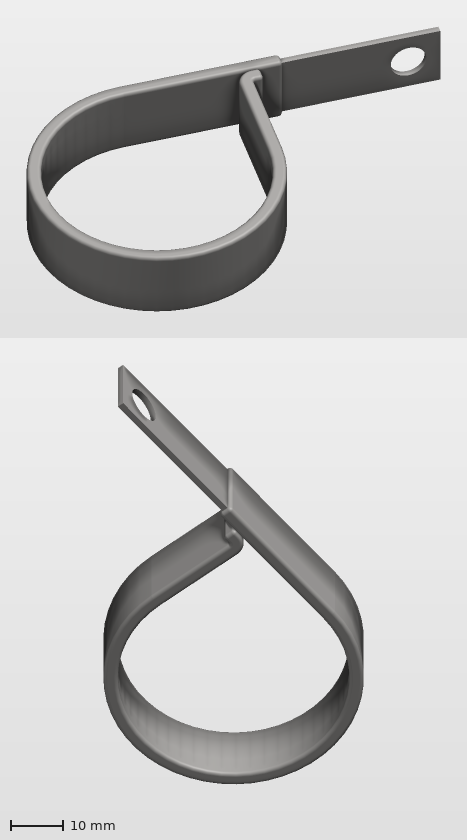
import cadquery as cq
import math

strap_width = 12.7
strap_thickness = 1.27
strap_end_y = 63.5
hole_diameter = 7.14
hole_end_distance = 6.35

cushion_wall = 0.76
cushion_end_y = 31.75
loop_inner_radius = 22.205
edge_radius = 0.75

hook_height = 4.9
hook_inner_radius = 0.45
hook_clearance = 0.02

cushion_thickness = strap_thickness + 2 * cushion_wall
cushion_width = strap_width + 2 * cushion_wall
loop_outer_radius = loop_inner_radius + cushion_thickness


def cushion_outline():
    """Closed outline of leg, three-quarter loop, arm and hook in the XY plane."""
    diagonal = math.sqrt(0.5)
    hook_outer_radius = hook_inner_radius + cushion_thickness
    hook_left_x = -loop_inner_radius + hook_clearance
    hook_right_x = hook_left_x + cushion_thickness
    bend_x = hook_left_x + hook_outer_radius
    bend_y = loop_inner_radius + hook_outer_radius
    hook_tip_y = loop_inner_radius + hook_height

    def bend_middle(radius):
        return (bend_x - radius * diagonal, bend_y - radius * diagonal)

    def loop_middle(radius):
        return (radius * diagonal, -radius * diagonal)

    return (
        cq.Workplane("XY", origin=(0, 0, -cushion_width / 2))
        .moveTo(-loop_outer_radius, cushion_end_y)
        .lineTo(-loop_outer_radius, 0)
        .threePointArc(loop_middle(loop_outer_radius), (0, loop_outer_radius))
        .lineTo(bend_x, loop_outer_radius)
        .threePointArc(bend_middle(hook_inner_radius), (hook_right_x, bend_y))
        .lineTo(hook_right_x, hook_tip_y)
        .lineTo(hook_left_x, hook_tip_y)
        .lineTo(hook_left_x, bend_y)
        .threePointArc(bend_middle(hook_outer_radius), (bend_x, loop_inner_radius))
        .lineTo(0, loop_inner_radius)
        .threePointArc(loop_middle(loop_inner_radius), (-loop_inner_radius, 0))
        .lineTo(-loop_inner_radius, cushion_end_y)
        .close()
    )


def make_cushion():
    """Cushion with both Z rims and both end faces rounded all around."""
    blank = cushion_outline().extrude(cushion_width)
    rims = blank.faces("|Z").edges()
    leg_corners = blank.faces(">Y").edges("|Z")
    hook_corners = blank.faces(">Y[-2]").edges("|Z")
    rounded = rims.vals() + leg_corners.vals() + hook_corners.vals()
    return blank.newObject(rounded).fillet(edge_radius)


def make_tab():
    """Bare strap that runs from inside the cushion leg to the mounting end."""
    tab_x = -loop_outer_radius + cushion_thickness / 2
    tab = cq.Workplane("XY").box(
        strap_thickness, strap_end_y, strap_width, centered=(True, False, True)
    )
    hole = (
        cq.Workplane("YZ")
        .center(strap_end_y - hole_end_distance, 0)
        .circle(hole_diameter / 2)
        .extrude(strap_thickness, both=True)
    )
    return tab.cut(hole).translate((tab_x, 0, 0))


result = make_cushion().union(make_tab())